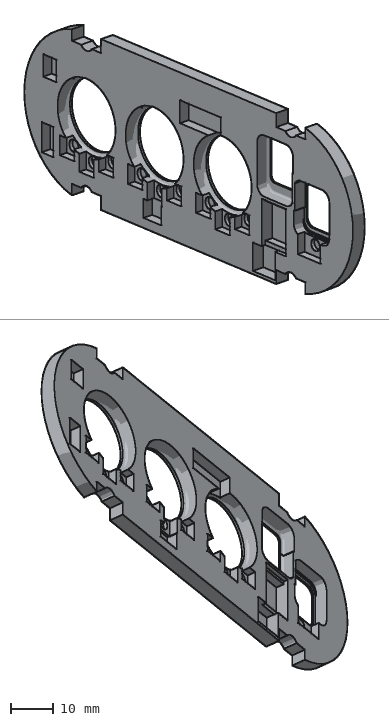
import cadquery as cq
import math

length = 116.0
height = 44.0
thickness = 3.8
end_radius = height / 2
end_center = length / 2 - end_radius
front = -thickness / 2
cut_margin = 1.2
through = thickness + cut_margin

notch_width = 10.2
notch_depth = 3.6
notch_floor = height / 2 - notch_depth
scoop_radius = 2.2
scoop_bottom = 17.4

bore_pitch = 24.0
bore_count = 3
bore_centers = [-end_center + i * bore_pitch for i in range(bore_count)]
bore_radius = 10.2
bore_foot_radius = 0.9
bore_back_radius = bore_radius - bore_foot_radius
bore_straight_depth = 2.2

lamp_circle_radius = 12.0
lamp_angles = (-35, 0, 35)
lamp_pocket_size = 5.1
lamp_pocket_depth = 2.2
lamp_hole_radius = 1.6
lamp_hole_depth = 3.2

side_lamp_left, side_lamp_right = 38.5, 46.5
side_lamp_bottom, side_lamp_top = -12.0, -6.4
side_lamp_x, side_lamp_z = 42.3, -9.0
side_lamp_hole_radius = 1.5

window_recess_depth = 3.4
window_recess_radius = 2.5

inner_window_x = 30.5
inner_recess_width = 12.6
inner_recess_bottom, inner_recess_top = -0.8, 15.0
inner_recess_foot_radius = 0.6
inner_opening_width = 10.7
inner_opening_bottom, inner_opening_top = 1.7, 13.6
inner_opening_radius = 1.5

outer_window_x = 43.4
outer_recess_width = 12.5
outer_recess_bottom, outer_recess_top = -7.1, 7.2
outer_recess_step = 0.3
outer_recess_step_depth = 3.0
outer_opening_width = 11.1
outer_opening_bottom, outer_opening_top = -5.7, 5.9
outer_opening_radius = 2.2

rib_left, rib_right = 36.5, 37.5
rib_bottom, rib_top = -1.2, 8.2

pocket_depth = 2.8
deep_pocket_depth = 3.4
step_depth = 1.2

pockets = [
    (-51.3, -46.6, 6.0, 11.8, pocket_depth),
    (-51.9, -47.7, -13.6, -5.8, pocket_depth),
    (-3.0, 11.4, 8.9, 14.8, pocket_depth),
    (-15.9, -9.6, -19.4, -14.5, pocket_depth),
    (25.9, 34.3, -13.8, -1.6, step_depth),
    (25.9, 34.3, -12.6, -2.4, deep_pocket_depth),
    (22.7, 30.5, -21.1, -13.8, deep_pocket_depth),
]


def prism(sketch, depth):
    """Extrude an XZ outline from the front face into the plate, overshooting the front."""
    return sketch.extrude(-(depth + cut_margin))


def face_plane(depth=0.0):
    """XZ work plane lying a given depth behind the front face."""
    return cq.Workplane("XZ", origin=(0, front + depth, 0))


def block(left, right, bottom, top, depth):
    """Rectangular cutter reaching a given depth behind the front face."""
    outline = face_plane(-cut_margin).center((left + right) / 2, (bottom + top) / 2)
    return prism(outline.rect(right - left, top - bottom), depth)


def disc(x, z, radius, depth):
    """Round cutter reaching a given depth behind the front face."""
    return prism(face_plane(-cut_margin).center(x, z).circle(radius), depth)


def rounded_block(x, bottom, top, width, radius, depth):
    """Rectangular cutter with rounded corners, centered on x."""
    half = width / 2
    return block(x - half, x + half, bottom, top, depth).edges("|Y").fillet(radius)


def notch(x, side):
    """Edge notch with a round scoop in its floor; side is +1 for top and -1 for bottom."""
    outer = height / 2 + cut_margin
    bottom, top = sorted((side * notch_floor, side * outer))
    slot = block(x - notch_width / 2, x + notch_width / 2, bottom, top, through)
    return slot.union(disc(x, side * (scoop_bottom + scoop_radius), scoop_radius, through))


def bore(x):
    """Wide bore, concave foot and narrow opening, turned about the bore axis."""
    foot_start = front + bore_straight_depth
    foot_end = foot_start + bore_foot_radius
    back = -front + cut_margin
    foot_middle = (
        bore_back_radius + bore_foot_radius * math.cos(math.pi / 4),
        foot_start + bore_foot_radius * math.sin(math.pi / 4),
    )
    half_profile = (
        cq.Workplane("XY")
        .moveTo(0, front - cut_margin)
        .lineTo(bore_radius, front - cut_margin)
        .lineTo(bore_radius, foot_start)
        .threePointArc(foot_middle, (bore_back_radius, foot_end))
        .lineTo(bore_back_radius, back)
        .lineTo(0, back)
        .close()
    )
    return half_profile.revolve(360, (0, 0, 0), (0, 1, 0)).translate((x, 0, 0))


def lamp_seat(x, z):
    """Square pocket and the blind lamp hole in its floor."""
    half = lamp_pocket_size / 2
    pocket = block(x - half, x + half, z - half, z + half, lamp_pocket_depth)
    return pocket.union(disc(x, z, lamp_hole_radius, lamp_hole_depth))


def window_recess(x, bottom, top, width, depth):
    """Rounded recess around a window opening."""
    return rounded_block(x, bottom, top, width, window_recess_radius, depth)


def rib():
    """Block left uncut as the thin wall between the two window recesses."""
    return block(rib_left, rib_right, rib_bottom, rib_top, thickness)


def inner_window():
    """Window whose recess walls curve into the recess floor."""
    recess = window_recess(
        inner_window_x, inner_recess_bottom, inner_recess_top, inner_recess_width, window_recess_depth
    )
    recess = recess.cut(rib()).faces(">Y").edges().fillet(inner_recess_foot_radius)
    opening = rounded_block(
        inner_window_x,
        inner_opening_bottom,
        inner_opening_top,
        inner_opening_width,
        inner_opening_radius,
        through,
    )
    return recess.union(opening)


def outer_window():
    """Window whose recess steps in slightly at its top and bottom."""
    upper = window_recess(
        outer_window_x, outer_recess_bottom, outer_recess_top, outer_recess_width, outer_recess_step_depth
    )
    lower = window_recess(
        outer_window_x,
        outer_recess_bottom + outer_recess_step,
        outer_recess_top - outer_recess_step,
        outer_recess_width,
        window_recess_depth,
    )
    opening = rounded_block(
        outer_window_x,
        outer_opening_bottom,
        outer_opening_top,
        outer_opening_width,
        outer_opening_radius,
        through,
    )
    return upper.union(lower).union(opening).cut(rib())


def side_lamp_seat():
    """Lamp pocket opening into the outer window recess, with its blind hole."""
    pocket = block(side_lamp_left, side_lamp_right, side_lamp_bottom, side_lamp_top, lamp_pocket_depth)
    return pocket.union(disc(side_lamp_x, side_lamp_z, side_lamp_hole_radius, lamp_hole_depth))


plate = face_plane().slot2D(length, height).extrude(-thickness)

for x in (-end_center, end_center):
    for side in (1, -1):
        plate = plate.cut(notch(x, side))

for bore_x in bore_centers:
    plate = plate.cut(bore(bore_x))
    for angle in lamp_angles:
        lamp_x = bore_x + lamp_circle_radius * math.sin(math.radians(angle))
        lamp_z = -lamp_circle_radius * math.cos(math.radians(angle))
        plate = plate.cut(lamp_seat(lamp_x, lamp_z))

plate = plate.cut(inner_window())
plate = plate.cut(outer_window())

plate = plate.cut(side_lamp_seat())

for left, right, bottom, top, depth in pockets:
    plate = plate.cut(block(left, right, bottom, top, depth))

result = plate